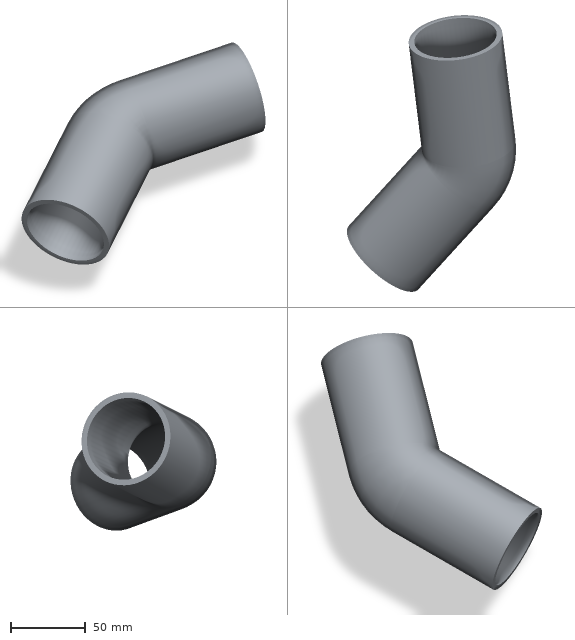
import cadquery as cq

outer_diameter = 63.0
wall = 3.8
bend_angle = 45
straight_length = 80.0
angled_length = 81.7
axis_gap = 0.02

bore_diameter = outer_diameter - 2 * wall
bend_radius = outer_diameter / 2 + axis_gap

bend_start = cq.Plane(origin=(0, 0, 0), xDir=(-1, 0, 0), normal=(0, 1, 0))


def ring():
    """Tube cross-section at the start of the bend."""
    return cq.Workplane(bend_start).circle(outer_diameter / 2).circle(bore_diameter / 2)


straight_leg = ring().extrude(-straight_length)

bend = ring().revolve(bend_angle, (-bend_radius, 0, 0), (-bend_radius, -1, 0))

angled_leg = (
    ring()
    .extrude(angled_length)
    .rotate((bend_radius, 0, 0), (bend_radius, 0, 1), -bend_angle)
)

result = straight_leg.union(bend).union(angled_leg)